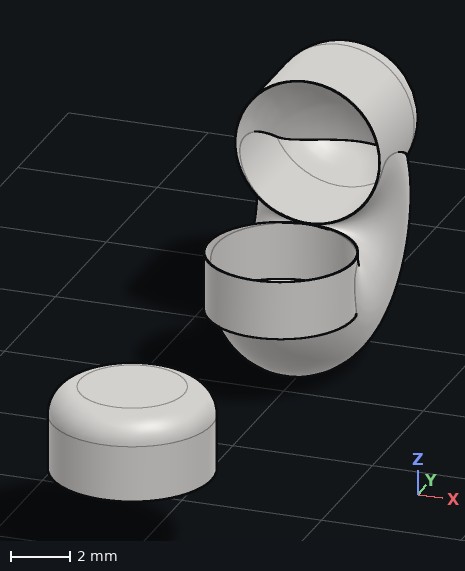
import cadquery as cq

TOTAL_LENGTH = 25.45
SOCKET_RADIUS = 2.6
FIT_GAP = 0.005
WALL = 0.013
BARREL_LENGTH = 5.4
BARREL_ROUNDING = 2.0
CUP_HEIGHT = 2.09
CAP_RADIUS = 2.85
CAP_HEIGHT = 3.0
CAP_ROUNDING = 1.0
BEND_SWEEP = 270.0

TUBE_RADIUS = SOCKET_RADIUS - FIT_GAP
BEND_RADIUS = SOCKET_RADIUS + FIT_GAP
CAP_Y = BARREL_LENGTH + CAP_RADIUS - TOTAL_LENGTH


def bend(inset=0.0):
    """Round tube swept about the X axis, from the cup rim down and up to the barrel mouth."""
    return (
        cq.Workplane("XY")
        .center(0, -BEND_RADIUS)
        .circle(TUBE_RADIUS - inset)
        .revolve(BEND_SWEEP, (0, BEND_RADIUS), (1, BEND_RADIUS))
    )


def barrel(inset=0.0):
    """Horizontal cylinder, open toward -Y, with a rounded back end."""
    return (
        cq.Workplane("XZ")
        .center(0, BEND_RADIUS)
        .circle(SOCKET_RADIUS - inset)
        .extrude(inset - BARREL_LENGTH)
        .faces(">Y")
        .edges()
        .fillet(BARREL_ROUNDING - inset)
    )


def cup(inset=0.0):
    """Upright cylinder hanging below the rim plane Z = 0."""
    return (
        cq.Workplane("XY")
        .center(0, -BEND_RADIUS)
        .circle(SOCKET_RADIUS - inset)
        .extrude(inset - CUP_HEIGHT)
    )


def make_elbow():
    """Bend with a barrel and a cup, each hollow only where it overlaps the bend."""
    outside = bend().union(barrel()).union(cup())
    barrel_cavity = barrel(WALL).intersect(bend(WALL))
    cup_cavity = cup(WALL).intersect(bend(WALL))
    return outside.cut(barrel_cavity).cut(cup_cavity)


def make_cap():
    """Round cap with a rounded top edge, its underside level with the cup's."""
    return (
        cq.Workplane("XY", origin=(0, CAP_Y, -CUP_HEIGHT))
        .circle(CAP_RADIUS)
        .extrude(CAP_HEIGHT)
        .faces(">Z")
        .edges()
        .fillet(CAP_ROUNDING)
    )


elbow = make_elbow()
cap = make_cap()
result = cq.Compound.makeCompound([elbow.val(), cap.val()])